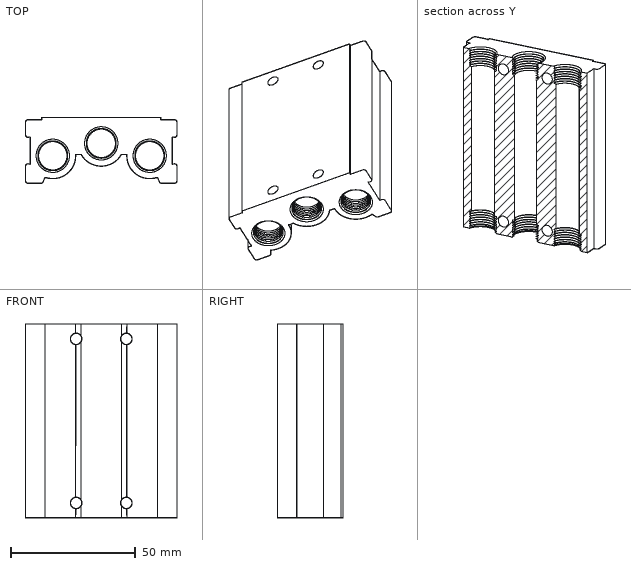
import cadquery as cq
import math

WIDTH = 61.0
DEPTH = 26.5
HEIGHT = 78.0
HALF_WIDTH = WIDTH / 2
BACK_Y = DEPTH / 2
FRONT_Y = -DEPTH / 2
CORNER_RADIUS = 1.0

PAD_WIDTH = 48.0
PAD_HEIGHT = 0.9
SHOULDER_Y = BACK_Y - PAD_HEIGHT

GROOVE_DEPTH = 1.9
GROOVE_FLOOR_WIDTH = 10.9
GROOVE_MOUTH_WIDTH = 10.2
GROOVE_Y = BACK_Y - 13.3
LIP_RADIUS = 1.0

PORT_SPACING = 19.5
CENTER_PORT_Y = BACK_Y - 10.4
SIDE_PORT_Y = CENTER_PORT_Y - 5.0
TUBE_RADIUS = 9.25
VALLEY_Y = BACK_Y - 14.9

FOOT_TOE_WIDTH = 6.9
FOOT_ROOT_WIDTH = 7.9
TOE_RADIUS = 1.0

BORE_DIAMETER = 11.445
THREAD_DIAMETER = 13.157
THREAD_PITCH = 1.03
THREAD_TURNS = 8
MOUTH_DIAMETER = 13.4

MOUNT_HOLE_DIAMETER = 4.5
MOUNT_HOLE_SPACING_X = 20.2
MOUNT_HOLE_SPACING_Z = 66.0

PORTS = [
    (-PORT_SPACING, SIDE_PORT_Y),
    (0, CENTER_PORT_Y),
    (PORT_SPACING, SIDE_PORT_Y),
]


def tube_height(offset):
    """Distance from a tube's axis to its wall, square to the given offset."""
    return math.sqrt(TUBE_RADIUS**2 - offset**2)


def right_half_profile():
    """Closed outline of the half body at X >= 0, running clockwise from the back."""
    groove_floor_x = HALF_WIDTH - GROOVE_DEPTH
    foot_toe_x = HALF_WIDTH - FOOT_TOE_WIDTH
    foot_root_x = HALF_WIDTH - FOOT_ROOT_WIDTH
    foot_root_y = SIDE_PORT_Y - tube_height(foot_root_x - PORT_SPACING)
    side_tube_x = PORT_SPACING - tube_height(VALLEY_Y - SIDE_PORT_Y)
    center_tube_x = tube_height(CENTER_PORT_Y - VALLEY_Y)
    arc_reach = TUBE_RADIUS * math.sqrt(0.5)
    center_mid_x = center_tube_x / 2
    return (
        cq.Workplane("XY")
        .moveTo(0, BACK_Y)
        .lineTo(PAD_WIDTH / 2, BACK_Y)
        .lineTo(PAD_WIDTH / 2, SHOULDER_Y)
        .lineTo(HALF_WIDTH, SHOULDER_Y)
        .lineTo(HALF_WIDTH, GROOVE_Y + GROOVE_MOUTH_WIDTH / 2)
        .lineTo(groove_floor_x, GROOVE_Y + GROOVE_FLOOR_WIDTH / 2)
        .lineTo(groove_floor_x, GROOVE_Y - GROOVE_FLOOR_WIDTH / 2)
        .lineTo(HALF_WIDTH, GROOVE_Y - GROOVE_MOUTH_WIDTH / 2)
        .lineTo(HALF_WIDTH, FRONT_Y)
        .lineTo(foot_toe_x, FRONT_Y)
        .lineTo(foot_root_x, foot_root_y)
        .threePointArc(
            (PORT_SPACING - arc_reach, SIDE_PORT_Y - arc_reach),
            (side_tube_x, VALLEY_Y),
        )
        .lineTo(center_tube_x, VALLEY_Y)
        .threePointArc(
            (center_mid_x, CENTER_PORT_Y - tube_height(center_mid_x)),
            (0, CENTER_PORT_Y - TUBE_RADIUS),
        )
        .close()
    )


def edges_along_z(x, y):
    """Selector for the upright edge at the given place."""
    reach = 0.05
    return cq.selectors.BoxSelector(
        (x - reach, y - reach, -HEIGHT), (x + reach, y + reach, HEIGHT)
    )


def make_body():
    """Extruded profile with rounded corners, centred on the origin."""
    half = right_half_profile().extrude(HEIGHT / 2, both=True)
    rounded_corners = [
        (HALF_WIDTH, SHOULDER_Y, CORNER_RADIUS),
        (HALF_WIDTH, FRONT_Y, CORNER_RADIUS),
        (HALF_WIDTH - FOOT_TOE_WIDTH, FRONT_Y, TOE_RADIUS),
        (HALF_WIDTH, GROOVE_Y + GROOVE_MOUTH_WIDTH / 2, LIP_RADIUS),
        (HALF_WIDTH, GROOVE_Y - GROOVE_MOUTH_WIDTH / 2, LIP_RADIUS),
    ]
    for x, y, radius in rounded_corners:
        half = half.edges("|Z").edges(edges_along_z(x, y)).fillet(radius)
    return half.union(half.mirror("YZ")).clean()


def make_port_cutter():
    """Bore on the Z axis with V-shaped thread rings and a 45 degree chamfer at each end."""
    bore_radius = BORE_DIAMETER / 2
    thread_radius = THREAD_DIAMETER / 2
    mouth_radius = MOUTH_DIAMETER / 2
    top = HEIGHT / 2

    upper = [(0, top)]
    for turn in range(THREAD_TURNS):
        root_z = top - turn * THREAD_PITCH
        upper.append((thread_radius, root_z))
        upper.append((bore_radius, root_z - THREAD_PITCH / 2))
    lower = [(radius, -z) for radius, z in reversed(upper)]
    cutter = cq.Workplane("XZ").polyline(upper + lower).close().revolve(360, (0, 0), (0, 1))

    chamfer = cq.Workplane("XY").add(
        cq.Solid.makeCone(mouth_radius, 0, mouth_radius, cq.Vector(0, 0, top), cq.Vector(0, 0, -1))
    )
    return cutter.union(chamfer).union(chamfer.mirror("XY"))


def make_mount_holes():
    """Four through holes along Y."""
    return (
        cq.Workplane("XZ", origin=(0, BACK_Y, 0))
        .rect(MOUNT_HOLE_SPACING_X, MOUNT_HOLE_SPACING_Z, forConstruction=True)
        .vertices()
        .circle(MOUNT_HOLE_DIAMETER / 2)
        .extrude(DEPTH)
    )


result = make_body()
port_cutter = make_port_cutter()
for port_x, port_y in PORTS:
    result = result.cut(port_cutter.translate((port_x, port_y, 0)))
result = result.cut(make_mount_holes())